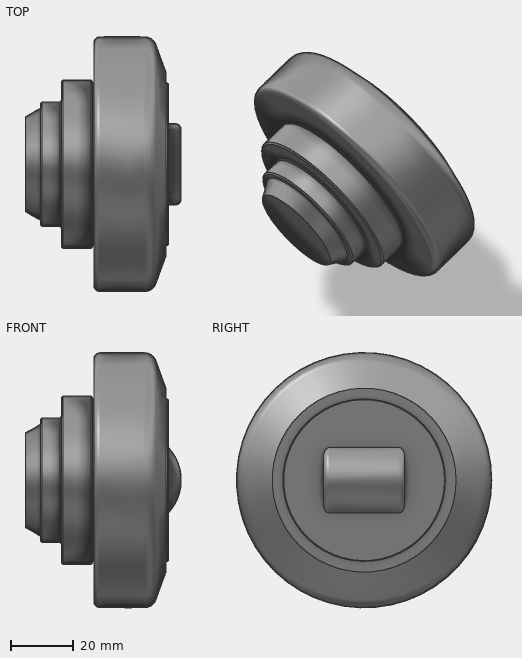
import cadquery as cq
import math


pin_tip_radius = 15.1
pin_cone_radius = 18.0
pin_cone_end = 4.9
pin_radius = 40.0 / 2
flange_start = 11.6
flange_end = 21.5
flange_radius = 54.0 / 2
edge_chamfer = 0.5
neck_radius = 52.0 / 2

roller_start = 22.0
roller_end = 45.1
roller_radius = 40.9
roller_fillet = 2.0
crown_radius = 499.8
crown_end = 38.1
shoulder_radius = 8.0 / 2
shoulder_angle = math.radians(70)

end_disc_face = 45.8
end_disc_chamfer = 0.25

side_roller_tip = 50.0
side_roller_radius = 15.3
side_roller_length = 26.0
side_roller_fillet = 2.0


def make_pin():
    return (
        cq.Workplane("XY")
        .lineTo(0, pin_tip_radius)
        .lineTo(pin_cone_end, pin_cone_radius)
        .lineTo(pin_cone_end, pin_radius - edge_chamfer)
        .lineTo(pin_cone_end + edge_chamfer, pin_radius)
        .lineTo(flange_start - edge_chamfer, pin_radius)
        .lineTo(flange_start, pin_radius + edge_chamfer)
        .lineTo(flange_start, flange_radius - edge_chamfer)
        .lineTo(flange_start + edge_chamfer, flange_radius)
        .lineTo(flange_end - edge_chamfer, flange_radius)
        .lineTo(flange_end, flange_radius - edge_chamfer)
        .lineTo(flange_end, neck_radius)
        .lineTo(roller_start, neck_radius)
        .lineTo(roller_start, 0)
        .close()
        .revolve(360, (0, 0, 0), (1, 0, 0))
    )


def make_roller():
    crown_start = roller_start + roller_fillet
    crown_middle = (crown_start + crown_end) / 2
    crown_half_width = (crown_end - crown_start) / 2
    crown_drop = crown_radius - math.sqrt(crown_radius**2 - crown_half_width**2)
    rim_radius = roller_radius - crown_drop

    def arc_point(center_x, radius, angle):
        """Point on a corner arc that touches the rim; angle is measured from the radial direction."""
        return (
            center_x + radius * math.sin(angle),
            rim_radius - radius + radius * math.cos(angle),
        )

    cone_start = arc_point(crown_end, shoulder_radius, shoulder_angle)
    cone_end_radius = cone_start[1] - (roller_end - cone_start[0]) * math.tan(shoulder_angle)

    return (
        cq.Workplane("XY")
        .moveTo(roller_start, 0)
        .lineTo(roller_start, rim_radius - roller_fillet)
        .threePointArc(
            arc_point(crown_start, roller_fillet, -math.pi / 4),
            (crown_start, rim_radius),
        )
        .threePointArc((crown_middle, roller_radius), (crown_end, rim_radius))
        .threePointArc(
            arc_point(crown_end, shoulder_radius, shoulder_angle / 2),
            cone_start,
        )
        .lineTo(roller_end, cone_end_radius)
        .lineTo(roller_end, 0)
        .close()
        .revolve(360, (0, 0, 0), (1, 0, 0))
    )


def make_end_disc():
    return (
        cq.Workplane("YZ", origin=(roller_end, 0, 0))
        .circle(neck_radius)
        .extrude(end_disc_face - roller_end)
        .faces(">X")
        .chamfer(end_disc_chamfer)
    )


def make_side_roller():
    return (
        cq.Workplane("XZ", origin=(side_roller_tip - side_roller_radius, 0, 0))
        .circle(side_roller_radius)
        .extrude(side_roller_length / 2, both=True)
        .faces("<Y or >Y")
        .edges()
        .fillet(side_roller_fillet)
    )


result = make_pin().union(make_roller()).union(make_end_disc()).union(make_side_roller())